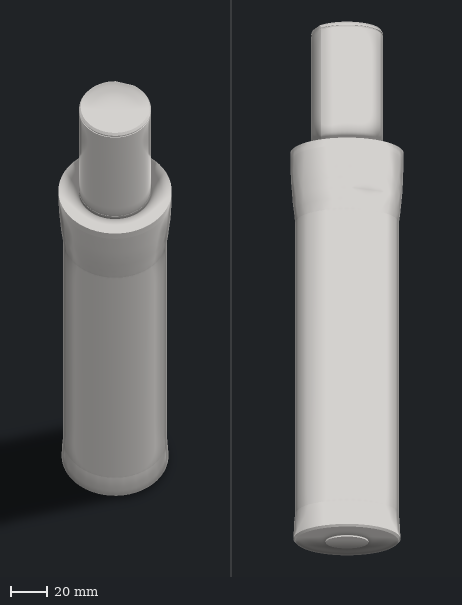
import cadquery as cq

total_height = 293.0
housing_top = 223.0
rim_height = 4.5
head_bottom = 183.0
foot_top = 16.0

tube_diameter = 57.0
head_diameter = 62.5
foot_diameter = 59.0
head_bulge = 0.5
foot_bulge = 0.3

pad_diameter = 23.5
pad_height = 1.0
foot_edge = 1.2

piston_diameter = 39.5
bore_diameter = 39.8
mouth_diameter = 41.3
mouth_depth = (mouth_diameter - bore_diameter) / 2
bore_floor = head_bottom
chamfer_height = 1.5
chamfer_width = 1.0
groove_bottom = 290.0
groove_height = 1.0
groove_diameter = 38.7
flat_offset = 18.2
flat_bottom = 227.0
collar_height = 1.5


def make_housing():
    """Turned housing with flared head and foot, a bottom pad and a blind bore."""
    tube_r = tube_diameter / 2
    head_r = head_diameter / 2
    foot_r = foot_diameter / 2
    rim_bottom = housing_top - rim_height
    foot_side = pad_height + foot_edge
    head_middle = ((tube_r + head_r) / 2 + head_bulge, (head_bottom + rim_bottom) / 2)
    foot_middle = ((tube_r + foot_r) / 2 + foot_bulge, (foot_side + foot_top) / 2)
    profile = (
        cq.Workplane("XZ")
        .moveTo(0, 0)
        .lineTo(pad_diameter / 2, 0)
        .lineTo(pad_diameter / 2, pad_height)
        .lineTo(foot_r - foot_edge, pad_height)
        .lineTo(foot_r, foot_side)
        .threePointArc(foot_middle, (tube_r, foot_top))
        .lineTo(tube_r, head_bottom)
        .threePointArc(head_middle, (head_r, rim_bottom))
        .lineTo(head_r, housing_top)
        .lineTo(mouth_diameter / 2, housing_top)
        .lineTo(bore_diameter / 2, housing_top - mouth_depth)
        .lineTo(bore_diameter / 2, bore_floor)
        .lineTo(0, bore_floor)
        .close()
    )
    return profile.revolve(360, (0, 0, 0), (0, 1, 0))


def make_piston():
    """Round piston with a chamfered top, a thin groove, a guide section and a flat on its +Y side."""
    guide_top = housing_top + collar_height
    guide = (
        cq.Workplane("XY", origin=(0, 0, bore_floor))
        .circle(bore_diameter / 2)
        .extrude(guide_top - bore_floor)
    )
    rod = (
        cq.Workplane("XY", origin=(0, 0, guide_top))
        .circle(piston_diameter / 2)
        .extrude(total_height - guide_top)
        .faces(">Z")
        .chamfer(chamfer_height, chamfer_width)
    )
    groove = (
        cq.Workplane("XY", origin=(0, 0, groove_bottom))
        .circle(bore_diameter / 2)
        .circle(groove_diameter / 2)
        .extrude(groove_height)
    )
    flat_cut = (
        cq.Workplane("XY", origin=(0, flat_offset + piston_diameter / 2, flat_bottom))
        .rect(piston_diameter, piston_diameter)
        .extrude(total_height - flat_bottom)
    )
    return guide.union(rod).cut(groove).cut(flat_cut)


housing = make_housing()
piston = make_piston()
result = cq.Compound.makeCompound([housing.val(), piston.val()])